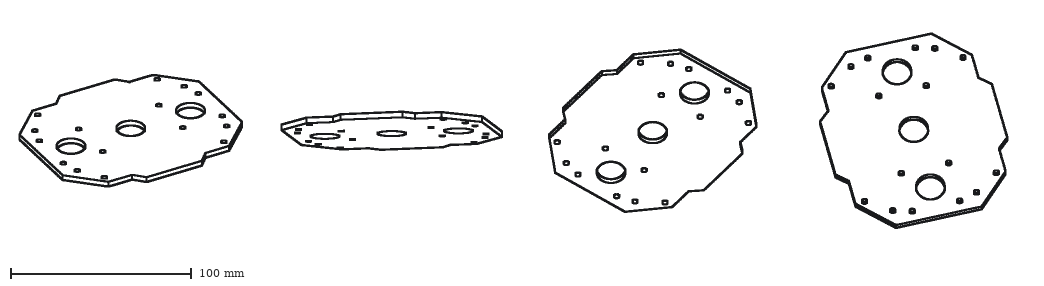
import cadquery as cq

length = 114.0
width = 98.0
thickness = 3.2
body_width = 85.7
end_edge_width = 48.8
chamfer_start_y = 38.3
wing_root_y = 23.3
wing_tip_y = 17.5

opening_diameter = 16.0
opening_spacing = 38.0

hole_diameter = 3.0
pattern_width = 27.0
pattern_length = 25.0
inner_edge_hole = (23.9, 47.4)
outer_edge_hole = (37.6, opening_spacing)


def mirrored(x, y):
    """Return a point and its reflections in both axes."""
    return [(sx * x, sy * y) for sx in (1, -1) for sy in (1, -1)]


def make_plate():
    quarter = [
        (end_edge_width / 2, length / 2),
        (body_width / 2, chamfer_start_y),
        (body_width / 2, wing_root_y),
        (width / 2, wing_tip_y),
    ]
    right_side = quarter + [(x, -y) for x, y in reversed(quarter)]
    left_side = [(-x, -y) for x, y in right_side]
    return cq.Workplane("XY").polyline(right_side + left_side).close().extrude(thickness)


def make_cutters(points, diameter):
    return cq.Workplane("XY").pushPoints(points).circle(diameter / 2).extrude(thickness)


opening_points = [(0, y) for y in (-opening_spacing, 0, opening_spacing)]

hole_points = mirrored(*inner_edge_hole) + mirrored(*outer_edge_hole)
for side in (1, -1):
    hole_points += mirrored(pattern_width / 2, opening_spacing + side * pattern_length / 2)

result = (
    make_plate()
    .cut(make_cutters(opening_points, opening_diameter))
    .cut(make_cutters(hole_points, hole_diameter))
)